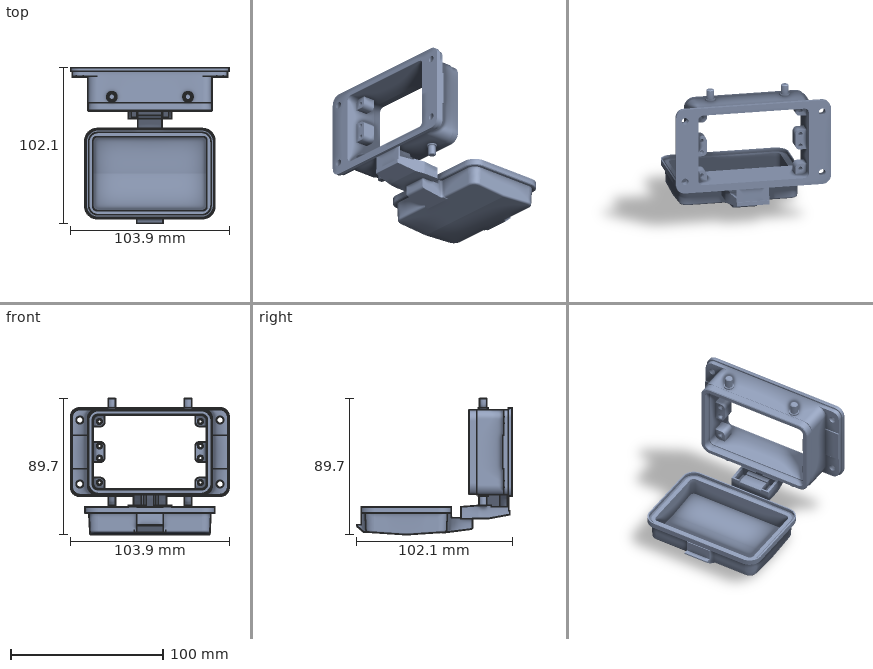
import cadquery as cq
import math


flange_width = 103.9
flange_height = 58.0
flange_lip_thickness = 2.5
flange_lip_radius = 5.9
flange_edge_step = 0.9
lip_top_step = 1.1
flange_thickness = 5.5
pad_height = 22.0
pad_rise = 0.75
mount_hole_diameter = 4.5
mount_hole_x = 46.0
mount_hole_z = 21.0

frame_width = 81.8
frame_height = flange_height - 2 * lip_top_step
frame_depth = 28.6
collar_length = 5.5
collar_inset = 0.15
frame_side_radius = 6.0
frame_collar_radius = 7.0
rim_wall = 3.2
frame_step = 0.6
rim_bevel = 0.5

lug_inner_x = 29.7
lug_embed = 1.5
lug_back_y = -7.8
lug_front_y = -16.5
lug_corner_radius = 3.0
corner_lug_z = 16.7
middle_lug_height = 13.4
lug_hole_x = 33.1
corner_hole_z = 20.0
middle_hole_z = 4.0
lug_hole_diameter = 2.6
lug_sink_diameter = 3.6

pin_x = 25.0
pin_y = -19.1
pin_diameter = 5.0
pin_tip_bevel = 0.5
pin_reach = 35.35
pin_collar_diameter = 6.6
pin_collar_reach = 28.9

web_half_widths = (10.9, 5.6, 4.0, 2.4)
web_ends_y = (-8.1, -17.0, -19.0)
web_back_y = -2.2
web_shoulder_y = -3.4
bracket_back_y = -1.6
bracket_heel_y = -15.5
bracket_front_y = -33.6
bracket_shoulder_y = -22.0
bracket_half_width = 14.2
bracket_top_z = -35.9
bracket_rim_z = -35.0
bracket_rim_back_y = -13.9
bracket_heel_top_z = -38.4
bracket_back_bottom_z = -41.1
bracket_bottom_z = -43.7
pocket_half_width = 12.4
pocket_back_y = -22.0
pocket_floor_z = -41.0
bracket_front_wall = 1.0
slot_half_width = 8.4
ledge_front_y = -25.3

lid_width = 85.4
lid_back_y = -39.9
lid_front_y = -99.1
lid_depth = lid_back_y - lid_front_y
lid_mid_y = (lid_back_y + lid_front_y) / 2
lid_top_z = -36.0
lid_rim_height = 4.3
lid_rim_radius = 8.5
lid_rim_bevel = 0.5
lid_lip_wall = 0.85
lid_recess_depth = 2.4
seat_inset = 2.6
seat_rise = 0.5
cavity_inset = 5.3
cavity_radius = 2.8
shell_inset = 2.6
shell_draft = 3.0
lid_bottom_z = -54.3
lid_bottom_rise = 2.0
lid_floor = 2.0
lid_bottom_radius = 1.2

arm_half_width = 8.0
arm_back_y = -25.9
arm_top_z = -43.1
arm_heel_z = -50.5
arm_blend_y = -46.0
arm_blend_z = -53.1
arm_heel_radius = 1.5
arm_root_radius = 0.8
bar_front_y = -33.4
bar_crest_y = -31.3
bar_front_z = -37.0
bar_crest_z = -36.2
tab_half_width = 8.65
tab_top_z = -47.6
tab_tip_y = -102.1
tab_tip_z = -48.5
tab_root_y = -97.4
tab_root_z = -52.6
tab_inner_y = -95.0
side_blend_radius = 1.6


def rounded_block_y(width, height, radius, start, end):
    """Rounded rectangle centred on the Y axis, reaching forward from depth start to depth end."""
    block = cq.Workplane("XZ").workplane(offset=start).rect(width, height).extrude(end - start)
    return block.edges("|Y").fillet(radius)


def rounded_block_z(inset, radius, top, bottom):
    """Rounded rectangle set in from the lid outline, reaching down from top to bottom."""
    block = (
        cq.Workplane("XY", origin=(0, lid_mid_y, bottom))
        .rect(lid_width - 2 * inset, lid_depth - 2 * inset)
        .extrude(top - bottom)
    )
    return block.edges("|Z").fillet(radius)


def side_prism(points, half_width):
    """Prism with a (Y, Z) outline, centred on X = 0."""
    return cq.Workplane("YZ").polyline(points).close().extrude(half_width, both=True)


def box_between(x_range, y_range, z_range):
    """Axis-aligned box given by its limits."""
    sizes = [max(r) - min(r) for r in (x_range, y_range, z_range)]
    corner = (min(x_range), min(y_range), min(z_range))
    return cq.Workplane("XY").box(*sizes, centered=False).translate(corner)


def make_flange():
    lip = rounded_block_y(flange_width, flange_height, flange_lip_radius, 0, flange_lip_thickness)
    plate_width = flange_width - 2 * flange_edge_step
    plate_radius = flange_lip_radius - flange_edge_step
    plate = rounded_block_y(plate_width, frame_height, plate_radius, 0, flange_thickness)
    pads = (
        cq.Workplane("XZ")
        .rect(plate_width, pad_height)
        .extrude(flange_thickness + pad_rise)
    )
    return lip.union(plate).union(pads)


def make_frame():
    collar_start = frame_depth - collar_length
    sides = rounded_block_y(frame_width, frame_height, frame_side_radius, 0, collar_start)
    collar = rounded_block_y(
        frame_width - 2 * collar_inset,
        frame_height - 2 * collar_inset,
        frame_collar_radius,
        collar_start,
        frame_depth,
    )
    collar = collar.faces("<Y").chamfer(rim_bevel)
    return sides.union(collar)


def make_frame_opening():
    front_width = frame_width - 2 * rim_wall
    front_height = frame_height - 2 * rim_wall
    front_radius = frame_collar_radius - rim_wall
    front = rounded_block_y(
        front_width, front_height, front_radius, frame_depth - collar_length, frame_depth
    )
    back = rounded_block_y(
        front_width - 2 * frame_step,
        front_height - 2 * frame_step,
        front_radius - frame_step,
        0,
        frame_depth,
    )
    return front.union(back)


def make_lugs():
    root_inset = rim_wall + frame_step - lug_embed
    wall_x = frame_width / 2 - root_inset
    wall_z = frame_height / 2 - root_inset
    lugs = cq.Workplane("XY")
    for side in (-1, 1):
        x_range = (side * lug_inner_x, side * wall_x)
        inner_edge = "|Y and >X" if side < 0 else "|Y and <X"
        middle_z = (-middle_lug_height / 2, middle_lug_height / 2)
        middle = box_between(x_range, (lug_front_y, lug_back_y), middle_z)
        lugs = lugs.union(middle.edges(inner_edge).fillet(lug_corner_radius))
        for level in (-1, 1):
            lug = box_between(x_range, (lug_front_y, lug_back_y), (level * corner_lug_z, level * wall_z))
            free_edge = inner_edge + (" and >Z" if level < 0 else " and <Z")
            lugs = lugs.union(lug.edges(free_edge).fillet(lug_corner_radius))
    return lugs


def make_lug_holes():
    points = [
        (side * lug_hole_x, z)
        for side in (-1, 1)
        for z in (-corner_hole_z, -middle_hole_z, middle_hole_z, corner_hole_z)
    ]
    bores = cq.Workplane("XZ").pushPoints(points).circle(lug_hole_diameter / 2).extrude(-lug_front_y)
    sink_depth = (lug_sink_diameter - lug_hole_diameter) / 2
    sink = cq.Solid.makeCone(
        lug_hole_diameter / 2,
        lug_sink_diameter / 2,
        sink_depth,
        pnt=cq.Vector(0, lug_front_y + sink_depth, 0),
        dir=cq.Vector(0, -1, 0),
    )
    for x, z in points:
        bores = bores.union(cq.Workplane(obj=sink.translate(cq.Vector(x, 0, z))))
    return bores


def make_pins():
    root_z = frame_height / 2 - rim_wall / 2
    spots = [(-pin_x, pin_y), (pin_x, pin_y)]
    base = cq.Workplane("XY").workplane(offset=root_z).pushPoints(spots)
    stems = base.circle(pin_diameter / 2).extrude(pin_reach - root_z)
    stems = stems.faces(">Z").chamfer(pin_tip_bevel)
    collars = base.circle(pin_collar_diameter / 2).extrude(pin_collar_reach - root_z)
    upper = stems.union(collars)
    return upper.union(upper.mirror("XY"))


def make_mount_holes():
    spots = [(sx * mount_hole_x, sz * mount_hole_z) for sx in (-1, 1) for sz in (-1, 1)]
    length = flange_thickness + pad_rise
    return cq.Workplane("XZ").pushPoints(spots).circle(mount_hole_diameter / 2).extrude(length)


def make_housing():
    body = make_flange().union(make_frame()).cut(make_frame_opening())
    body = body.union(make_lugs()).union(make_pins())
    return body.cut(make_lug_holes()).cut(make_mount_holes())


def make_hinge_web():
    """Stepped neck that tapers forward under the frame."""
    root, shoulder, step, nose = web_half_widths
    half = [
        (root, web_back_y),
        (root, web_shoulder_y),
        (shoulder, web_ends_y[0]),
        (shoulder, web_ends_y[1]),
        (step, web_ends_y[1]),
        (step, web_ends_y[2]),
        (nose, web_ends_y[2]),
        (nose, pocket_back_y),
    ]
    outline = half + [(-x, y) for x, y in reversed(half)]
    web_top_z = -(frame_height - rim_wall) / 2
    web = cq.Workplane("XY").workplane(offset=bracket_top_z).polyline(outline).close()
    return web.extrude(web_top_z - bracket_top_z)


def make_hinge_bracket():
    side_outline = [
        (web_back_y, bracket_top_z),
        (web_back_y, bracket_heel_top_z),
        (bracket_back_y, bracket_heel_top_z),
        (bracket_back_y, bracket_back_bottom_z),
        (bracket_heel_y, bracket_bottom_z),
        (bracket_front_y, bracket_bottom_z),
        (bracket_front_y, bracket_top_z),
        (bracket_shoulder_y, bracket_rim_z),
        (bracket_rim_back_y, bracket_rim_z),
        (bracket_rim_back_y, bracket_top_z),
    ]
    half = [
        (web_half_widths[0], bracket_back_y),
        (bracket_half_width, bracket_shoulder_y),
        (bracket_half_width, bracket_front_y),
    ]
    plan_outline = half + [(-x, y) for x, y in reversed(half)]
    plan = (
        cq.Workplane("XY")
        .workplane(offset=bracket_bottom_z)
        .polyline(plan_outline)
        .close()
        .extrude(bracket_rim_z - bracket_bottom_z)
    )
    pocket = box_between(
        (-pocket_half_width, pocket_half_width),
        (pocket_back_y, bracket_front_y + bracket_front_wall),
        (pocket_floor_z, bracket_rim_z),
    )
    slot = box_between(
        (-slot_half_width, slot_half_width),
        (arm_back_y, bracket_front_y),
        (bracket_bottom_z, bracket_rim_z),
    )
    ledge = box_between(
        (-arm_half_width, arm_half_width),
        (pocket_back_y, ledge_front_y),
        (pocket_floor_z, bracket_top_z),
    )
    bracket = side_prism(side_outline, bracket_half_width).intersect(plan)
    return bracket.cut(pocket).cut(slot).union(ledge).union(make_hinge_web())


def shallow_vee(crest_z, rise):
    """Everything in the lid that lies above a V-shaped floor creased along X."""
    outline = [
        (lid_back_y, lid_top_z),
        (lid_back_y, crest_z + rise),
        (lid_mid_y, crest_z),
        (lid_front_y, crest_z + rise),
        (lid_front_y, lid_top_z),
    ]
    return side_prism(outline, lid_width / 2)


def make_drafted_core():
    """Tapered solid whose sides are the outer walls of the lid below its rim."""
    return (
        cq.Workplane("XY", origin=(0, lid_mid_y, lid_top_z - lid_rim_height))
        .sketch()
        .rect(lid_width - 2 * shell_inset, lid_depth - 2 * shell_inset)
        .vertices()
        .fillet(lid_rim_radius - shell_inset)
        .finalize()
        .extrude(lid_bottom_z - lid_top_z + lid_rim_height, taper=shell_draft)
    )


def make_blended_column(half_width, end_y):
    """Lid core with a column from its middle out to end_y, blended where it leaves the wall."""
    z_range = (lid_top_z - lid_rim_height, lid_bottom_z)
    column = box_between((-half_width, half_width), (lid_mid_y, end_y), z_range)
    blended = make_drafted_core().union(column)
    outward = math.copysign(1, end_y - lid_mid_y)
    wall_y = lid_mid_y + outward * (lid_depth / 2 - shell_inset)
    for x in (-half_width, half_width):
        corner = cq.selectors.NearestToPointSelector((x, wall_y, sum(z_range) / 2))
        blended = blended.edges(corner).fillet(side_blend_radius)
    return blended


def make_lid_shell():
    rim_bottom_z = lid_top_z - lid_rim_height
    rim = rounded_block_z(0, lid_rim_radius, lid_top_z, rim_bottom_z)
    rim = rim.faces("<Z").chamfer(lid_rim_bevel)
    shell = make_drafted_core().intersect(shallow_vee(lid_bottom_z, lid_bottom_rise))
    shell = shell.faces("<Z").edges("not <Z").fillet(lid_bottom_radius)
    return rim.union(shell)


def make_lid_cavity():
    seat_z = lid_top_z - lid_recess_depth
    recess = rounded_block_z(lid_lip_wall, lid_rim_radius - lid_lip_wall, lid_top_z, seat_z)
    seat = rounded_block_z(seat_inset, lid_rim_radius - seat_inset, seat_z + seat_rise, seat_z)
    basin = rounded_block_z(cavity_inset, cavity_radius, lid_top_z, lid_bottom_z)
    basin = basin.intersect(shallow_vee(lid_bottom_z + lid_floor, lid_bottom_rise))
    return recess.cut(seat).union(basin)


def make_lid_arm():
    """Arm reaching back from the lid, with a bar that rises into the hinge bracket."""
    arm_outline = [
        (lid_back_y, lid_top_z - lid_rim_height),
        (lid_back_y, arm_top_z),
        (arm_back_y, arm_top_z),
        (arm_back_y, arm_heel_z),
        (arm_blend_y, arm_blend_z),
        (arm_blend_y, lid_top_z - lid_rim_height),
    ]
    arm = side_prism(arm_outline, arm_half_width + side_blend_radius)
    arm = arm.faces(">Y").edges("<Z").fillet(arm_heel_radius)
    root = cq.selectors.NearestToPointSelector((0, lid_back_y, arm_top_z))
    arm = arm.edges(root).fillet(arm_root_radius)
    arm = arm.intersect(make_blended_column(arm_half_width, arm_back_y))
    bar_outline = [
        (arm_back_y, arm_top_z),
        (bar_front_y, arm_top_z),
        (bar_front_y, bar_front_z),
        (bar_crest_y, bar_crest_z),
        (arm_back_y, bar_crest_z),
    ]
    return arm.union(side_prism(bar_outline, arm_half_width))


def make_finger_tab():
    outline = [
        (tab_inner_y, lid_top_z - lid_rim_height),
        (lid_front_y, lid_top_z - lid_rim_height),
        (lid_front_y, tab_top_z),
        (tab_tip_y, tab_top_z),
        (tab_tip_y, tab_tip_z),
        (tab_root_y, tab_root_z),
        (tab_inner_y, tab_root_z),
    ]
    wedge = side_prism(outline, tab_half_width + side_blend_radius)
    return wedge.intersect(make_blended_column(tab_half_width, tab_tip_y))


def make_lid():
    outside = make_lid_shell().union(make_lid_arm()).union(make_finger_tab())
    return outside.cut(make_lid_cavity())


result = make_housing().union(make_hinge_bracket()).union(make_lid())